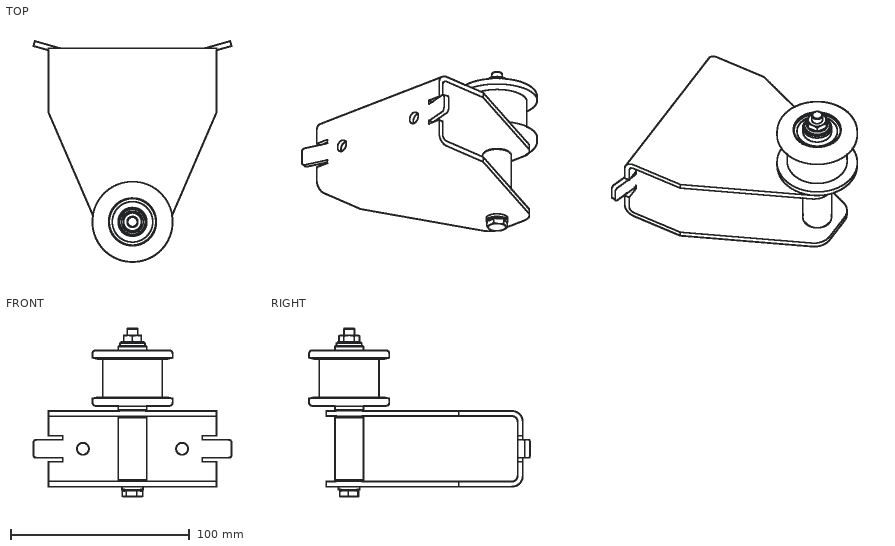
import cadquery as cq
import math

bracket_width = 94.0
bracket_height = 42.4
sheet = 3.0
bend_outer_radius = 6.0
bend_inner_radius = bend_outer_radius - sheet
back_y = 97.0
taper_start_y = 61.1
nose_y = -12.8
nose_half_width = 15.1
nose_corner_radius = 10.0
mid_z = bracket_height / 2
inner_top_z = bracket_height - sheet

hole_diameter = 6.5
hole_spacing = 55.3

notch_height = 14.3
notch_depth = 8.0
tab_height = 10.3
tab_flat = 1.7
tab_angle = math.radians(15.8)
tab_span = 110.8
tab_corner_radius = 1.9

spindle_diameter = 16.0
spacer_chamfer = 0.9

washer_diameter = 12.0
washer_thickness = 1.6
neck_diameter = 9.0
neck_length = 0.7
hex_flats = 10.0
hex_corners = hex_flats / math.cos(math.radians(30))
hex_chamfer_height = 0.4
head_height = 3.2
head_turn = -6.0

roller_bottom_z = 45.1
roller_height = 31.1
roller_top_z = roller_bottom_z + roller_height
core_diameter = 33.5
flange_diameter = 45.0
flange_thickness = 5.0
flange_edge_radius = 2.0
flange_bevel_height = 0.7
flange_bevel_width = 3.2
recess_diameter = 26.0
recess_depth = 1.2
recess_chamfer = 0.4
shield_diameter = 22.6
shield_depth = 0.2

collar_chamfer = 0.7
collar_top_z = 78.8
nut_flange_diameter = 14.2
nut_flange_top_diameter = 12.0
nut_flange_rim_z = 80.0
nut_bottom_z = 80.9
nut_top_z = 84.5
nut_turn = 30.0
bolt_diameter = 6.0
bolt_top_z = 88.5
bolt_chamfer = 0.4


def cylinder(diameter, z_low, z_high):
    return cq.Workplane("XY").workplane(offset=z_low).circle(diameter / 2).extrude(z_high - z_low)


def hexagon(z_low, z_high, turn, bevelled_face):
    """Hexagonal head whose corners are bevelled at the selected end."""
    prism = cq.Workplane("XY").workplane(offset=z_low).polygon(6, hex_corners).extrude(z_high - z_low)
    envelope = (
        cylinder(hex_corners, z_low, z_high)
        .faces(bevelled_face)
        .chamfer(hex_chamfer_height, (hex_corners - hex_flats) / 2)
    )
    return prism.rotate((0, 0, 0), (0, 0, 1), turn).intersect(envelope)


def make_bracket():
    depth = back_y - nose_y
    mid_y = (back_y + nose_y) / 2
    outer = (
        cq.Workplane("XY")
        .box(bracket_width, depth, bracket_height)
        .translate((0, mid_y, mid_z))
        .edges("|X and >Y")
        .fillet(bend_outer_radius)
    )
    inner = (
        cq.Workplane("XY")
        .box(bracket_width, depth, bracket_height - 2 * sheet)
        .translate((0, mid_y - sheet, mid_z))
        .edges("|X and >Y")
        .fillet(bend_inner_radius)
    )
    half_width = bracket_width / 2
    plan = (
        cq.Workplane("XY")
        .polyline([
            (-half_width, back_y),
            (half_width, back_y),
            (half_width, taper_start_y),
            (nose_half_width, nose_y),
            (-nose_half_width, nose_y),
            (-half_width, taper_start_y),
        ])
        .close()
        .extrude(bracket_height)
        .edges("|Z and <Y")
        .fillet(nose_corner_radius)
    )
    bracket = outer.cut(inner).intersect(plan)

    for side in (-1, 1):
        hole = (
            cq.Workplane("XZ", origin=(side * hole_spacing / 2, back_y, mid_z))
            .circle(hole_diameter / 2)
            .extrude(sheet)
        )
        notch = (
            cq.Workplane("XY")
            .box(notch_depth, sheet, notch_height)
            .translate((side * (half_width - notch_depth / 2), back_y - sheet / 2, mid_z))
        )
        bracket = bracket.cut(hole).cut(notch)
    return bracket


def make_tab():
    """Tab on the +X side: a short flat root, then bent backward."""
    tip_x = tab_span / 2
    root_x = bracket_width / 2 - notch_depth
    inner_y = back_y - sheet
    inner_bend_x = root_x + tab_flat
    outer_bend_x = inner_bend_x - sheet * math.tan(tab_angle / 2)
    inner_tip_y = inner_y + (tip_x - inner_bend_x) * math.tan(tab_angle)
    outer_tip_x = tip_x - sheet * math.sin(tab_angle)
    outer_tip_y = inner_tip_y + sheet * math.cos(tab_angle)
    return (
        cq.Workplane("XY")
        .workplane(offset=mid_z - tab_height / 2)
        .polyline([
            (root_x, inner_y),
            (inner_bend_x, inner_y),
            (tip_x, inner_tip_y),
            (outer_tip_x, outer_tip_y),
            (outer_bend_x, back_y),
            (root_x, back_y),
        ])
        .close()
        .extrude(tab_height)
        .faces(">X")
        .edges("<Z or >Z")
        .fillet(tab_corner_radius)
    )


def make_spacer():
    return cylinder(spindle_diameter, sheet, inner_top_z).faces("<Z or >Z").chamfer(spacer_chamfer)


def make_bolt_head():
    neck_top_z = -washer_thickness
    head_top_z = neck_top_z - neck_length
    head_bottom_z = head_top_z - head_height
    washer = cylinder(washer_diameter, neck_top_z, 0)
    neck = cylinder(neck_diameter, head_top_z, neck_top_z)
    head = hexagon(head_bottom_z, head_top_z, head_turn, "<Z")
    return washer.union(neck).union(head)


def make_roller_flange():
    """Upper flange; its rounded rim is on top and its bevel faces the core."""
    bottom_z = roller_top_z - flange_thickness
    radius = flange_diameter / 2
    bevel_radius = radius - flange_bevel_width
    round_radius = radius - flange_edge_radius
    round_mid = flange_edge_radius * math.sqrt(0.5)
    round_start_z = roller_top_z - flange_edge_radius
    return (
        cq.Workplane("XZ")
        .moveTo(0, bottom_z)
        .lineTo(bevel_radius, bottom_z)
        .lineTo(radius, bottom_z + flange_bevel_height)
        .lineTo(radius, round_start_z)
        .threePointArc(
            (round_radius + round_mid, round_start_z + round_mid),
            (round_radius, roller_top_z),
        )
        .lineTo(0, roller_top_z)
        .close()
        .revolve(360, (0, 0, 0), (0, 1, 0))
    )


def make_roller():
    """Roller with a stepped bearing recess in each end."""
    floor_z = roller_top_z - recess_depth
    recess = cylinder(recess_diameter, floor_z, roller_top_z)
    shield = cylinder(shield_diameter, floor_z - shield_depth, floor_z)
    recess_radius = recess_diameter / 2
    lead_in = cq.Workplane(cq.Solid.makeCone(
        recess_radius,
        recess_radius + recess_chamfer,
        recess_chamfer,
        pnt=cq.Vector(0, 0, roller_top_z - recess_chamfer),
    ))
    core_mid_z = roller_bottom_z + roller_height / 2
    upper_half = (
        cylinder(core_diameter, core_mid_z, roller_top_z)
        .union(make_roller_flange())
        .cut(recess)
        .cut(shield)
        .cut(lead_in)
    )
    lower_half = upper_half.mirror("XY", (0, 0, core_mid_z))
    return upper_half.union(lower_half)


def make_collar():
    """Collar running through the roller, from the bracket to the nut."""
    return (
        cylinder(spindle_diameter, bracket_height, collar_top_z)
        .faces("<Z or >Z")
        .chamfer(collar_chamfer)
    )


def make_nut_and_bolt_end():
    nut_flange = (
        cylinder(nut_flange_diameter, collar_top_z, nut_bottom_z)
        .faces(">Z")
        .chamfer(nut_bottom_z - nut_flange_rim_z, (nut_flange_diameter - nut_flange_top_diameter) / 2)
    )
    nut = hexagon(nut_bottom_z, nut_top_z, nut_turn, ">Z")
    bolt_end = cylinder(bolt_diameter, nut_top_z, bolt_top_z).faces(">Z").chamfer(bolt_chamfer)
    return nut_flange.union(nut).union(bolt_end)


tab = make_tab()
result = (
    make_bracket()
    .union(tab)
    .union(tab.mirror("YZ"))
    .union(make_spacer())
    .union(make_bolt_head())
    .union(make_roller())
    .union(make_collar())
    .union(make_nut_and_bolt_end())
)